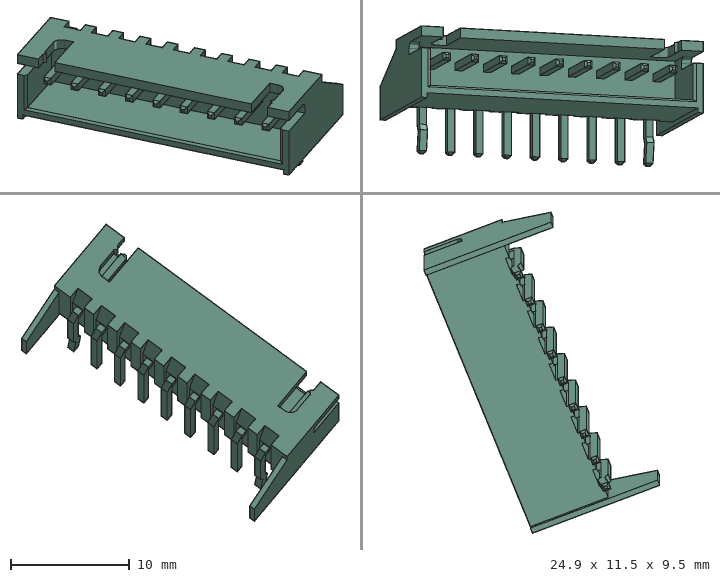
import cadquery as cq


width = 24.9
wing_length = 11.5
wing_thickness = 0.5
housing_depth = 7.05
height = 6.1
floor_gap = 0.4
slope_top = 5.33
slope_bottom = 2.86

wall = 0.85
lid_thickness = 0.85
floor_thickness = 0.7
cavity_depth = 5.23
mouth_depth = 0.2
mouth_widening = 0.25
mouth_drop = 0.17

side_slot_bottom = 4.23
side_slot_depth = 3.4
side_slot_radius = 0.5

lid_slot_outer = 10.5
lid_slot_inner = 9.01
lid_slot_depth = 3.9
lid_slot_radius = 0.75
tooth_y = 1.17
tooth_height = 0.25
tooth_half_width = 0.22

notch_width = 1.5
notch_top_y = 6.0
notch_wall_y = 6.72
notch_ramp_z = 4.2

pin_count = 9
pitch = 2.5
pin = 0.65
pin_axis_z = 3.74
pin_front_y = 0.5
pin_back_y = 7.95
pin_bottom_z = -3.4
tip_length = 0.22
tip_size = 0.25
kink_start_z = -0.95
kink_peak_z = -1.47
kink_offset = 0.3

half_width = width / 2
pin_positions = [(i - (pin_count - 1) / 2) * pitch for i in range(pin_count)]
cavity_floor = floor_gap + floor_thickness
cavity_roof = height - lid_thickness
shank_bottom_z = pin_bottom_z + tip_length


def prism_x(points, x_start, x_end):
    """Closed (y, z) outline extruded from x_start to x_end."""
    outline = cq.Workplane("YZ", origin=(x_start, 0, 0)).polyline(points).close()
    return outline.extrude(x_end - x_start)


def box(x0, x1, y0, y1, z0, z1):
    """Box between two opposite corners."""
    return cq.Workplane("XY").box(x1 - x0, y1 - y0, z1 - z0, centered=False).translate((x0, y0, z0))


def mouth_section(y, growth):
    """Rectangular cavity section at y, opened by growth (0 to 1) of the mouth chamfer."""
    half = half_width - wall + growth * mouth_widening
    bottom = cavity_floor - growth * mouth_drop
    corners = [(-half, bottom), (half, bottom), (half, cavity_roof), (-half, cavity_roof)]
    return cq.Wire.makePolygon([cq.Vector(x, y, z) for x, z in corners], close=True)


def make_shell():
    """Housing block with its two sloping wings."""
    shell = box(-half_width, half_width, 0, housing_depth, floor_gap, height)
    wing_outline = [
        (0, 0),
        (wing_length, 0),
        (wing_length, slope_bottom),
        (housing_depth, slope_top),
        (housing_depth, height),
        (0, height),
    ]
    left_wing = prism_x(wing_outline, -half_width, -half_width + wing_thickness)
    return shell.union(left_wing).union(left_wing.mirror("YZ"))


def make_cavity():
    """Front cavity with a chamfered mouth on the floor and side walls."""
    half = half_width - wall
    cavity = box(-half, half, 0, cavity_depth, cavity_floor, cavity_roof)
    mouth = cq.Solid.makeLoft([mouth_section(0, 1), mouth_section(mouth_depth, 0)], True)
    return cavity.union(cq.Workplane(mouth))


def make_side_slots():
    """Slot through both side walls, rounded where its end meets the lid."""
    slot = box(-half_width, half_width, 0, side_slot_depth, side_slot_bottom, cavity_roof)
    return slot.edges("|X and >Y and >Z").fillet(side_slot_radius)


def make_lid_slot():
    """Left lid slot: rounded outer back corner, locking tooth left standing."""
    slot = box(-lid_slot_outer, -lid_slot_inner, 0, lid_slot_depth, cavity_roof, height)
    slot = slot.edges("|Z and >Y and <X").fillet(lid_slot_radius)
    tooth = (
        cq.Workplane("XY", origin=(0, 0, cavity_roof))
        .polyline([
            (-lid_slot_outer, tooth_y - tooth_half_width),
            (-lid_slot_outer + tooth_height, tooth_y),
            (-lid_slot_outer, tooth_y + tooth_half_width),
        ])
        .close()
        .extrude(lid_thickness)
    )
    return slot.cut(tooth)


def make_notch(x):
    """Back notch with an upright lower wall and a steep ramp up to the lid."""
    outline = [
        (housing_depth, floor_gap),
        (notch_wall_y, floor_gap),
        (notch_wall_y, notch_ramp_z),
        (notch_top_y, height),
        (housing_depth, height),
    ]
    return prism_x(outline, x - notch_width / 2, x + notch_width / 2)


def make_tip(center, direction):
    """Tapered square pin tip growing from center along direction."""
    base = cq.Workplane(cq.Plane(center, (1, 0, 0), direction)).rect(pin, pin)
    return base.workplane(offset=tip_length).rect(tip_size, tip_size).loft()


def make_pin(x, kinked):
    """Right-angle pin with a bevelled bend; a kinked leg bows towards the front."""
    top = pin_axis_z + pin / 2
    bottom = pin_axis_z - pin / 2
    leg_front = pin_back_y - pin
    shank_front = pin_front_y + tip_length
    front_kink = []
    back_kink = []
    if kinked:
        front_kink = [(leg_front - kink_offset, kink_peak_z), (leg_front, kink_start_z)]
        back_kink = [(pin_back_y, kink_start_z), (pin_back_y - kink_offset, kink_peak_z)]
    outline = [
        (shank_front, bottom),
        (shank_front, top),
        (leg_front, top),
        (pin_back_y, bottom),
        *back_kink,
        (pin_back_y, shank_bottom_z),
        (leg_front, shank_bottom_z),
        *front_kink,
        (leg_front, bottom),
    ]
    body = prism_x(outline, x - pin / 2, x + pin / 2)
    front_tip = make_tip((x, shank_front, pin_axis_z), (0, -1, 0))
    bottom_tip = make_tip((x, leg_front + pin / 2, shank_bottom_z), (0, 0, -1))
    return body.union(front_tip).union(bottom_tip)


lid_slot = make_lid_slot()
result = make_shell().cut(make_cavity()).cut(make_side_slots())
result = result.cut(lid_slot).cut(lid_slot.mirror("YZ"))

for pin_x in pin_positions:
    result = result.cut(make_notch(pin_x))

for pin_x in pin_positions:
    is_end_pin = pin_x in (pin_positions[0], pin_positions[-1])
    result = result.union(make_pin(pin_x, is_end_pin))